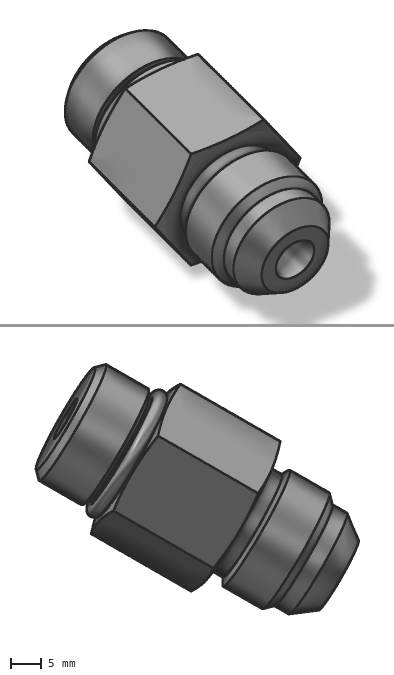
import cadquery as cq
import math

LENGTH = 52.3
BORE_DIAMETER = 7.75
THREAD_RADIUS = 22.25 / 2
NECK_RADIUS = 19.65 / 2

RING_INNER_RADIUS = 9.65
RING_SECTION_DIAMETER = 2.4

HEX_START = 12.9
HEX_END = 33.15
HEX_ACROSS_FLATS = 25.4
HEX_CORNER_RADIUS = HEX_ACROSS_FLATS / math.sqrt(3)
HEX_CHAMFER_ANGLE = math.radians(15)

PORT_CHAMFER = 1.3
PORT_THREAD_END = 9.45

THREAD_START = 36.55
THREAD_END = 44.15
NOSE_RADIUS = 19.35 / 2
NOSE_CYLINDER_END = 48.4
NOSE_CONE_ANGLE = math.radians(37)

RUNOUT_ANGLE = math.radians(30)
RUNOUT_LENGTH = (THREAD_RADIUS - NECK_RADIUS) * math.tan(RUNOUT_ANGLE)


def revolve_about_x(profile):
    """Turn a closed profile drawn in the XY plane about the X axis."""
    return profile.revolve(360, (0, 0, 0), (1, 0, 0))


def make_turned_body():
    """Both threaded ends and the core joining them, as one turned shape."""
    neck_start = PORT_THREAD_END + RUNOUT_LENGTH
    neck_end = THREAD_START - RUNOUT_LENGTH
    nose_cylinder_start = THREAD_END + THREAD_RADIUS - NOSE_RADIUS
    tip_radius = NOSE_RADIUS - (LENGTH - NOSE_CYLINDER_END) * math.tan(NOSE_CONE_ANGLE)
    outline = [
        (0, 0),
        (0, THREAD_RADIUS - PORT_CHAMFER),
        (PORT_CHAMFER, THREAD_RADIUS),
        (PORT_THREAD_END, THREAD_RADIUS),
        (neck_start, NECK_RADIUS),
        (neck_end, NECK_RADIUS),
        (THREAD_START, THREAD_RADIUS),
        (THREAD_END, THREAD_RADIUS),
        (nose_cylinder_start, NOSE_RADIUS),
        (NOSE_CYLINDER_END, NOSE_RADIUS),
        (LENGTH, tip_radius),
        (LENGTH, 0),
    ]
    return revolve_about_x(cq.Workplane("XY").polyline(outline).close())


def make_hexagon():
    """Hexagonal prism with its corners chamfered at both ends."""
    prism = (
        cq.Workplane("YZ", origin=(HEX_START, 0, 0))
        .polygon(6, 2 * HEX_CORNER_RADIUS)
        .extrude(HEX_END - HEX_START)
    )
    flat_radius = HEX_ACROSS_FLATS / 2
    chamfer_length = (HEX_CORNER_RADIUS - flat_radius) * math.tan(HEX_CHAMFER_ANGLE)
    envelope = revolve_about_x(
        cq.Workplane("XY")
        .moveTo(HEX_START, 0)
        .lineTo(HEX_START, flat_radius)
        .lineTo(HEX_START + chamfer_length, HEX_CORNER_RADIUS)
        .lineTo(HEX_END - chamfer_length, HEX_CORNER_RADIUS)
        .lineTo(HEX_END, flat_radius)
        .lineTo(HEX_END, 0)
        .close()
    )
    return prism.intersect(envelope)


def make_o_ring():
    """Round-section ring around the port neck, beside the hexagon."""
    section_radius = RING_SECTION_DIAMETER / 2
    ring_radius = RING_INNER_RADIUS + section_radius
    ring = cq.Solid.makeTorus(
        ring_radius,
        section_radius,
        cq.Vector(HEX_START - section_radius, 0, 0),
        cq.Vector(1, 0, 0),
    )
    return cq.Workplane(ring)


def make_fitting(ring):
    """Turned body and hexagon in one piece, bored through along the axis, with a seat for the ring."""
    bore = cq.Workplane("YZ").circle(BORE_DIAMETER / 2).extrude(LENGTH)
    return make_turned_body().union(make_hexagon()).cut(bore).cut(ring)


o_ring = make_o_ring()
fitting = make_fitting(o_ring)

result = cq.Compound.makeCompound([fitting.solids().val(), o_ring.val()])